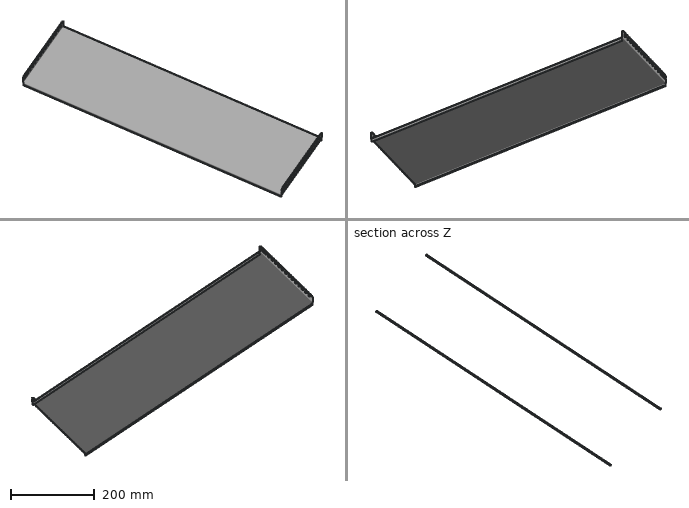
import cadquery as cq

length = 706.0
width = 200.0
height = 32.0

sheet = 1.0
bend_radius = 1.5
inner_radius = bend_radius - sheet
shelf_top = 9.0
lip_width = 3.5

flange_corner = 5.0
relief_top = 13.0
hole_diameter = 6.5
hole_count = 13
hole_pitch = 12.5
first_hole_inset = 15.0
hole_drop = 9.0

shelf_bottom = shelf_top - sheet
flat_length = length - 2 * bend_radius
flat_width = width - 2 * bend_radius
hole_z = height - hole_drop
first_hole_y = width / 2 - first_hole_inset
slot_end_y = first_hole_y - hole_count * hole_pitch


def box(size_x, size_y, size_z, x, y, z):
    """Box centred on x and y, standing on z."""
    return cq.Workplane("XY", origin=(x, y, z)).box(size_x, size_y, size_z, centered=(True, True, False))


def make_right_flange():
    """Upright flange at +X, folded up from the shelf and clear of its corners near the fold."""
    bend = (
        cq.Workplane("XZ", origin=(0, flat_width / 2, 0))
        .moveTo(flat_length / 2, shelf_bottom)
        .radiusArc((length / 2, shelf_bottom + bend_radius), -bend_radius)
        .lineTo(length / 2, relief_top)
        .lineTo(length / 2 - sheet, relief_top)
        .lineTo(length / 2 - sheet, shelf_bottom + bend_radius)
        .radiusArc((flat_length / 2, shelf_top), inner_radius)
        .close()
        .extrude(flat_width)
    )
    wall = box(sheet, width, height - relief_top, (length - sheet) / 2, 0, relief_top)
    wall = wall.edges("|X and >Z").chamfer(flange_corner)
    return bend.union(wall)


def make_back_skirt():
    """Skirt at +Y, folded down from the shelf, with a lip folded inward at its bottom."""
    outer_y = width / 2
    inner_y = outer_y - sheet
    lip_y = outer_y - lip_width
    return (
        cq.Workplane("YZ", origin=(-flat_length / 2, 0, 0))
        .moveTo(flat_width / 2, shelf_top)
        .radiusArc((outer_y, shelf_top - bend_radius), bend_radius)
        .lineTo(outer_y, bend_radius)
        .radiusArc((flat_width / 2, 0), bend_radius)
        .lineTo(lip_y, 0)
        .lineTo(lip_y, sheet)
        .lineTo(flat_width / 2, sheet)
        .radiusArc((inner_y, bend_radius), -inner_radius)
        .lineTo(inner_y, shelf_top - bend_radius)
        .radiusArc((flat_width / 2, shelf_bottom), -inner_radius)
        .close()
        .extrude(flat_length)
    )


def make_flange_openings():
    """Row of holes and front-opening slot, cutting through both end flanges."""
    side_plane = cq.Workplane("YZ", origin=(-length / 2, 0, 0))
    centres = [(first_hole_y - i * hole_pitch, hole_z) for i in range(hole_count + 1)]
    holes = side_plane.pushPoints(centres).circle(hole_diameter / 2).extrude(length)
    slot_length = slot_end_y + width / 2
    slot_y = slot_end_y - slot_length / 2
    slot = box(length, slot_length, hole_diameter, 0, slot_y, hole_z - hole_diameter / 2)
    return holes.union(slot)


flange = make_right_flange()
skirt = make_back_skirt()
shelf = box(flat_length, flat_width, sheet, 0, 0, shelf_bottom)
shelf = shelf.union(flange).union(flange.mirror("YZ"))
shelf = shelf.union(skirt).union(skirt.mirror("XZ"))

result = shelf.cut(make_flange_openings())